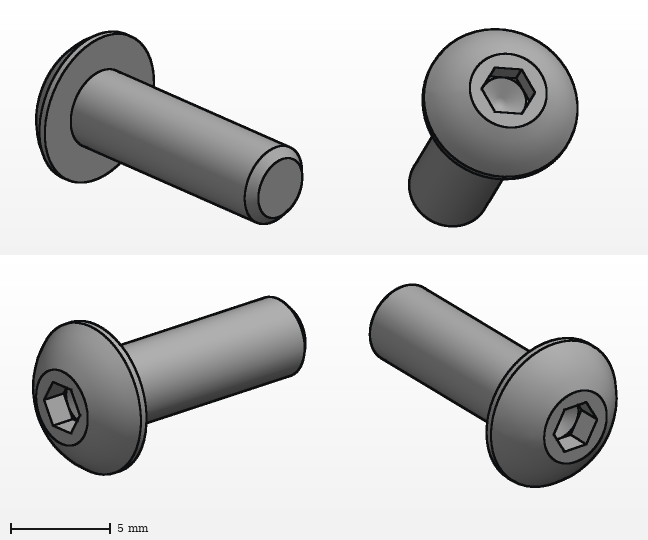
import cadquery as cq
import math

head_diameter = 7.925
head_height = 2.21
rim_thickness = 0.38
face_diameter = head_diameter / 2
shank_diameter = 4.166
shank_length = 12.7
tip_chamfer = 0.487
hex_sides = 6
socket_across_flats = 2.381
socket_depth = 1.32
socket_point_angle = 120.0

full_turn = 360
head_radius = head_diameter / 2
face_radius = face_diameter / 2
shank_radius = shank_diameter / 2
face_x = -head_height
rim_x = -rim_thickness
hex_half_angle = math.pi / hex_sides


def dome_midpoint(sphere_center_x):
    """Point halfway along the dome arc, for a sphere centred on the screw axis."""
    face_angle = math.atan2(face_radius, sphere_center_x - face_x)
    rim_angle = math.atan2(head_radius, sphere_center_x - rim_x)
    middle_angle = (face_angle + rim_angle) / 2
    sphere_radius = math.hypot(head_radius, sphere_center_x - rim_x)
    return (
        sphere_center_x - sphere_radius * math.cos(middle_angle),
        sphere_radius * math.sin(middle_angle),
    )


def screw_body():
    """Head and shank revolved as one profile about the X axis."""
    sphere_center_x = (rim_x**2 + head_radius**2 - face_x**2 - face_radius**2) / (2 * (rim_x - face_x))
    profile = (
        cq.Workplane("XY")
        .moveTo(face_x, 0)
        .lineTo(face_x, face_radius)
        .threePointArc(dome_midpoint(sphere_center_x), (rim_x, head_radius))
        .lineTo(0, head_radius)
        .lineTo(0, shank_radius)
        .lineTo(shank_length - tip_chamfer, shank_radius)
        .lineTo(shank_length, shank_radius - tip_chamfer)
        .lineTo(shank_length, 0)
        .close()
    )
    return profile.revolve(full_turn, (0, 0, 0), (1, 0, 0))


def hex_socket():
    """Hexagonal recess with two corners on the Y axis and a conical bottom."""
    across_corners = socket_across_flats / math.cos(hex_half_angle)
    hexagon = (
        cq.Workplane("YZ", origin=(face_x, 0, 0))
        .polygon(hex_sides, across_corners)
        .extrude(socket_depth)
    )
    cone_radius = socket_across_flats / 2
    cone_depth = cone_radius / math.tan(math.radians(socket_point_angle / 2))
    socket_floor_x = face_x + socket_depth
    cone = (
        cq.Workplane("XY")
        .moveTo(socket_floor_x, 0)
        .lineTo(socket_floor_x, cone_radius)
        .lineTo(socket_floor_x + cone_depth, 0)
        .close()
        .revolve(full_turn, (0, 0, 0), (1, 0, 0))
    )
    return hexagon.union(cone)


result = screw_body().cut(hex_socket())